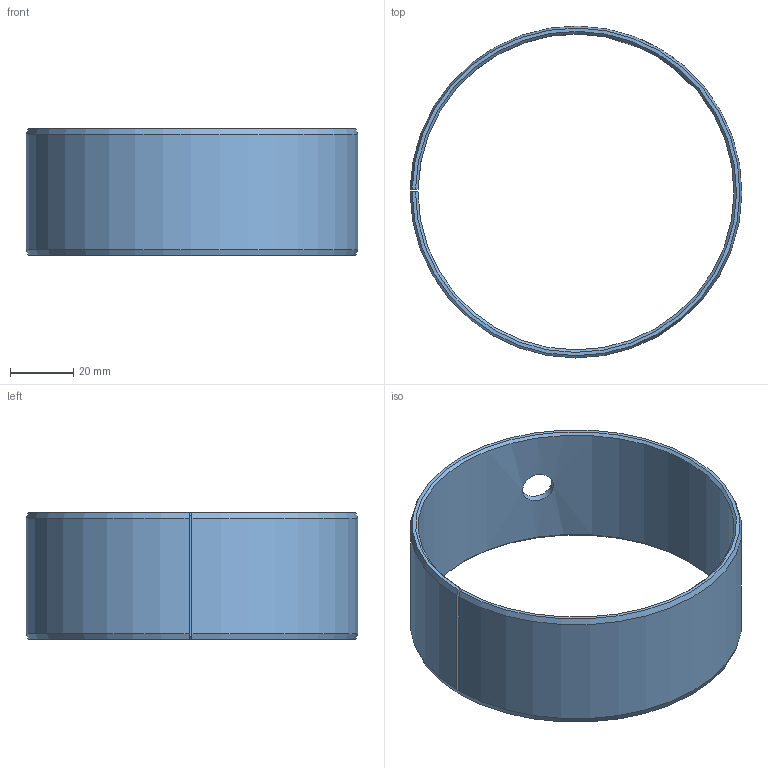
import cadquery as cq
import math

outer_diameter = 105.0
wall_thickness = 2.5
width = 40.0

outer_chamfer_length = 1.8
outer_chamfer_angle = 20.0
inner_chamfer = 0.8

joint_start_angle = 180.0
split_angle = 1.0
oil_hole_diameter = 10.0
hole_from_joint = 120.0

outer_radius = outer_diameter / 2
inner_radius = outer_radius - wall_thickness
half_width = width / 2
outer_chamfer_depth = outer_chamfer_length * math.tan(math.radians(outer_chamfer_angle))
oil_hole_angle = joint_start_angle - split_angle - hole_from_joint


def make_ring():
    """Revolve the chamfered wall section about Z, leaving the joint open on the -X side."""
    face_outer_radius = outer_radius - outer_chamfer_depth
    face_inner_radius = inner_radius + inner_chamfer
    outer_land = half_width - outer_chamfer_length
    inner_land = half_width - inner_chamfer
    section = (
        cq.Workplane("XZ")
        .moveTo(inner_radius, -inner_land)
        .lineTo(face_inner_radius, -half_width)
        .lineTo(face_outer_radius, -half_width)
        .lineTo(outer_radius, -outer_land)
        .lineTo(outer_radius, outer_land)
        .lineTo(face_outer_radius, half_width)
        .lineTo(face_inner_radius, half_width)
        .lineTo(inner_radius, inner_land)
        .close()
    )
    ring = section.revolve(360 - split_angle, (0, 0, 0), (0, 1, 0))
    return ring.rotate((0, 0, 0), (0, 0, 1), joint_start_angle)


def make_oil_hole():
    """Radial cylinder from the bush axis out through one wall, at mid width."""
    drill = cq.Workplane("YZ").circle(oil_hole_diameter / 2).extrude(outer_diameter)
    return drill.rotate((0, 0, 0), (0, 0, 1), oil_hole_angle)


result = make_ring().cut(make_oil_hole())